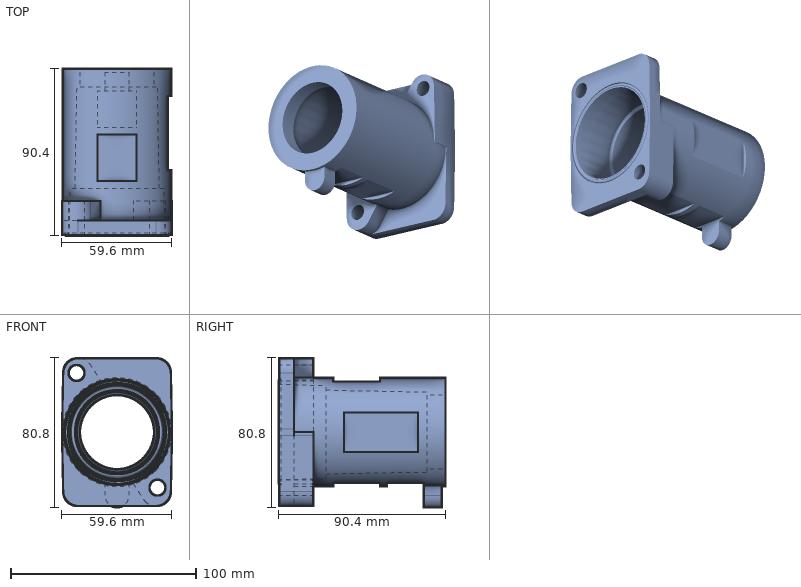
import cadquery as cq
import math

seal_projection = 0.4
barrel_radius = 29.45
barrel_length = 90.35 - seal_projection

flange_thickness = 8.0
boss_thickness = 18.5
flange_half_width = 29.8
corner_radius = 8.0
corner_x = 21.1
corner_z = 32.0
side_round_half_height = 1.8
side_round_x = 29.77
hole_diameter = 8.5
hole_x = 21.9
upper_hole_z = 32.0
lower_hole_z = -30.0
boss_toe_x = 8.9

mouth_radius = 25.9
pocket_end_radius = 25.3
pocket_depth = 25.3
cone_start_radius = 22.8
cone_end_radius = 21.8
shelf_y = 80.05
bore_radius = 20.0

groove_inner_radius = 26.6
groove_outer_radius = 28.6
groove_depth = 1.1
bead_radius = 0.8
bead_ring_radius = 27.4

flat_distance = 27.5
pad_flat_range = (29.4, 54.5)
lug_flat_range = (58.2, 78.1)
side_flat_range = (35.15, 75.2)

lug_start = lug_flat_range[1]
lug_end = 87.9
lug_radius = 6.4
lug_bottom_z = -40.75


def extrude_back(sketch, length):
    """Extrude an XZ sketch toward +Y."""
    return sketch.extrude(-length)


def make_flange():
    """Rounded plate with slightly tapered sides and a crowned middle."""
    top_z = corner_z + corner_radius
    edge_x = corner_x + corner_radius
    diagonal = corner_radius / math.sqrt(2)
    outline = cq.Workplane("XZ").moveTo(-corner_x, top_z).lineTo(corner_x, top_z)
    for side in (1, -1):
        outline = (
            outline.threePointArc(
                (side * (corner_x + diagonal), side * (corner_z + diagonal)),
                (side * edge_x, side * corner_z),
            )
            .lineTo(side * side_round_x, side * side_round_half_height)
            .threePointArc(
                (side * flange_half_width, 0),
                (side * side_round_x, -side * side_round_half_height),
            )
            .lineTo(side * edge_x, -side * corner_z)
            .threePointArc(
                (side * (corner_x + diagonal), -side * (corner_z + diagonal)),
                (side * corner_x, -side * top_z),
            )
        )
        if side == 1:
            outline = outline.lineTo(-corner_x, -top_z)
    return extrude_back(outline.close(), flange_thickness)


def make_boss():
    """Upper-left screw boss, rounded at the flange corner and blended to the barrel."""
    toe_z = math.sqrt(barrel_radius**2 - boss_toe_x**2)
    toe_dx = corner_x - boss_toe_x
    toe_dz = toe_z - corner_z
    toe_distance = math.hypot(toe_dx, toe_dz)
    tangent_angle = math.atan2(toe_dz, toe_dx) + math.acos(corner_radius / toe_distance)
    middle_angle = (tangent_angle + math.pi) / 2

    def on_corner(angle):
        return (
            -corner_x + corner_radius * math.cos(angle),
            corner_z + corner_radius * math.sin(angle),
        )

    outline = (
        cq.Workplane("XZ")
        .moveTo(0, 0)
        .lineTo(-boss_toe_x, toe_z)
        .lineTo(*on_corner(tangent_angle))
        .threePointArc(on_corner(middle_angle), on_corner(math.pi))
        .lineTo(-side_round_x, side_round_half_height)
        .lineTo(-flange_half_width, 0)
        .close()
    )
    return extrude_back(outline, boss_thickness)


def make_lug():
    center_z = lug_bottom_z + lug_radius
    outline = (
        cq.Workplane("XZ", origin=(0, lug_start, 0))
        .moveTo(-lug_radius, 0)
        .lineTo(-lug_radius, center_z)
        .threePointArc((0, lug_bottom_z), (lug_radius, center_z))
        .lineTo(lug_radius, 0)
        .close()
    )
    return extrude_back(outline, lug_end - lug_start)


def make_flat_cutter(y_range, turn):
    """Block beyond a flat; turn rotates it from the top about the barrel axis."""
    start, end = y_range
    block = cq.Workplane("XY").box(
        2 * barrel_radius, end - start, barrel_radius, centered=(True, False, False)
    )
    return block.translate((0, start, flat_distance)).rotate((0, 0, 0), (0, 1, 0), turn)


def make_interior():
    """Tapered pocket, tapered middle bore and narrower rear opening."""
    profile = (
        cq.Workplane("XY")
        .moveTo(0, 0)
        .lineTo(mouth_radius, 0)
        .lineTo(pocket_end_radius, pocket_depth)
        .lineTo(cone_start_radius, pocket_depth)
        .lineTo(cone_end_radius, shelf_y)
        .lineTo(bore_radius, shelf_y)
        .lineTo(bore_radius, barrel_length)
        .lineTo(0, barrel_length)
        .close()
    )
    return profile.revolve(360, (0, 0, 0), (0, 1, 0))


def make_groove():
    ring = cq.Workplane("XZ").circle(groove_outer_radius).circle(groove_inner_radius)
    return extrude_back(ring, groove_depth)


def make_bead():
    section = cq.Workplane("XY").center(bead_ring_radius, bead_radius - seal_projection).circle(bead_radius)
    return section.revolve(360, (-bead_ring_radius, 0, 0), (-bead_ring_radius, 1, 0))


barrel = extrude_back(cq.Workplane("XZ").circle(barrel_radius), barrel_length)
for flat_range, flat_turn in (
    (pad_flat_range, 0),
    (pad_flat_range, 180),
    (lug_flat_range, 180),
    (side_flat_range, 90),
):
    barrel = barrel.cut(make_flat_cutter(flat_range, flat_turn))

boss = make_boss()
opposite_boss = boss.rotate((0, 0, 0), (0, 1, 0), 180)
body = barrel.union(make_flange()).union(boss).union(opposite_boss).union(make_lug())

screw_holes = extrude_back(
    cq.Workplane("XZ")
    .pushPoints([(-hole_x, upper_hole_z), (hole_x, lower_hole_z)])
    .circle(hole_diameter / 2),
    boss_thickness,
)
result = body.cut(screw_holes).cut(make_interior()).cut(make_groove()).union(make_bead())